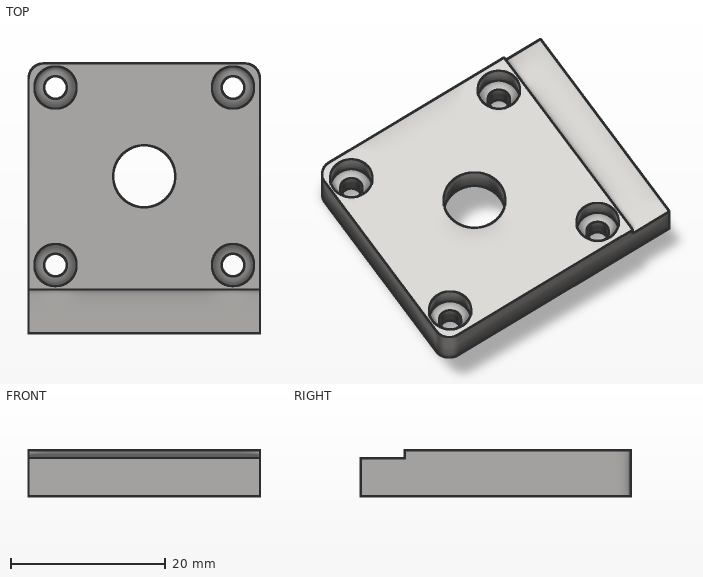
import cadquery as cq

width = 30.0
length = 35.0
thickness = 6.0
corner_radius = 2.0

step_length = 5.7
step_depth = 1.0

bore_diameter = 8.0
screw_spacing = 23.0
screw_diameter = 2.9
counterbore_diameter = 5.5
counterbore_depth = 2.9
screw_edge_distance = 3.15
bore_y = length - screw_edge_distance - screw_spacing / 2

recess_diameter = 22.0
recess_depth = 2.0


def make_plate():
    plate = cq.Workplane("XY").box(width, length, thickness, centered=(True, False, False))
    return plate.edges("|Z and >Y").fillet(corner_radius)


def make_step():
    return (
        cq.Workplane("XY", origin=(0, 0, thickness - step_depth))
        .box(width, step_length, step_depth, centered=(True, False, False))
    )


def make_recess():
    return cq.Workplane("XY", origin=(0, bore_y, 0)).circle(recess_diameter / 2).extrude(recess_depth)


result = make_plate().cut(make_step()).cut(make_recess())

top_plane = cq.Workplane("XY", origin=(0, bore_y, thickness))
bore = top_plane.circle(bore_diameter / 2).extrude(-thickness)
screw_points = top_plane.rect(screw_spacing, screw_spacing, forConstruction=True).vertices()
screw_holes = screw_points.circle(screw_diameter / 2).extrude(-thickness)
counterbores = screw_points.circle(counterbore_diameter / 2).extrude(-counterbore_depth)

result = result.cut(bore).cut(screw_holes).cut(counterbores)